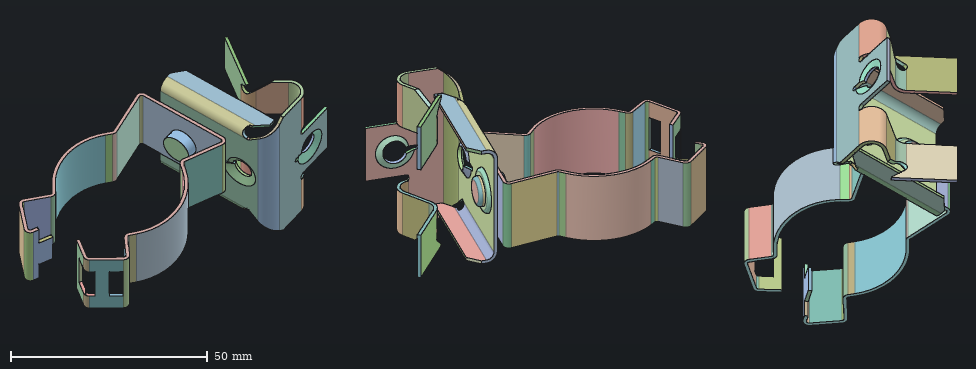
import cadquery as cq
import math


SHEET = 0.95
HALF_SHEET = SHEET / 2
CUT = 48.0

BASE_LEFT = -7.8
CHANNEL_HALF_WIDTH = 16.7
CHANNEL_BEND = 2.95
RIB_HEIGHT = 7.5
RIB_RIGHT = 22.95
RIB_END_HEIGHT = 5.35
RIB_CHAMFER_X = 2.8
RIB_CHAMFER_Y = 3.2
NOTCH_RADIUS = 1.4
NOTCH_X = 19.4
NOTCH_Z = CHANNEL_HALF_WIDTH - NOTCH_RADIUS
NOTCH_HEIGHT = 2.4

FLANGE_FACE = 27.0
FLANGE_TOP = 24.8
FLANGE_WIDTH = 44.5
FLANGE_HALF_WIDTH = FLANGE_WIDTH / 2
FLANGE_BEND = 4.0
FLANGE_MID = FLANGE_FACE - HALF_SHEET
CORNER_START_X = 20.1
CORNER_SLOPE = 0.85
BEND_STEPS = 8
TONGUE_HALF_WIDTH = 7.8
ARM_INNER_Z = 9.7
TONGUE_SLOT_BOTTOM = 13.2

ARM_ROOT_Y = 12.0
ARM_PEAK = (FLANGE_MID, 20.2)
ARM_VALLEY = (12.15, 9.75)
ARM_TIP = (-0.6, 18.7)
ARM_SPUR_LENGTH = 1.3
ARM_SLOT_RADIUS = 1.4
ARM_SLOT_CENTRE = (11.6, 18.2)

THREAD_HOLE_RADIUS = 2.8
THREAD_LIP_RADIUS = 3.1
THREAD_START_RADIUS = 4.0
THREAD_END_RADIUS = 5.6
THREAD_START_HEIGHT = 0.55
THREAD_END_HEIGHT = 1.4
THREAD_GAP_ANGLE = 0.1
THREAD_STEPS = 24
SLIT_WIDTH = 1.2
SLIT_REACH = 6.55
BASE_HOLE_X = 17.5
FLANGE_HOLE_Y = 17.35

CLIP_HALF_WIDTH = 9.5
CLIP_BEND = 1.1
RING_OUTER_RADIUS = 17.4
RING_RADIUS = RING_OUTER_RADIUS - HALF_SHEET
RING_CENTRE = (0, -28.05)
SHOULDER_X = 13.75
LEFT_NECKS = [(-11.2, -15.1), (-11.3, -41.0)]
RIGHT_NECKS = [(8.3, -12.95), (11.3, -41.0)]
LEFT_JAW = [(-17.1, -47.8), (-9.3, -55.5), (-6.2, -48.85)]
RIGHT_JAW = [(16.5, -47.0), (7.9, -53.4), (2.4, -49.4)]
HOOK_HALF_WIDTH = 4.2
HOOK_LENGTH = 4.0
WINDOW_HALF_WIDTH = 4.7
NOSE_WINDOW_TO_TIP = 4.55
NOSE_WINDOW_TO_ELBOW = 2.2
LATCH_WINDOW_START = 5.9
LATCH_WINDOW_END = 9.35

RIVET_RADIUS = 4.0
RIVET_X = 0.2
RIVET_FRONT = 3.1
RIVET_BACK = 2.55
RIVET_FILLET = 0.95
COLLAR_RADIUS = 6.0
COLLAR_HEIGHT = 0.95


def unit(start, end):
    """Unit vector from one point to another."""
    length = math.dist(start, end)
    return ((end[0] - start[0]) / length, (end[1] - start[1]) / length)


def along(point, direction, distance):
    """Point reached by moving a distance in a direction."""
    return (point[0] + distance * direction[0], point[1] + distance * direction[1])


def left_of(direction):
    """Direction turned a quarter turn to the left."""
    return (-direction[1], direction[0])


def face_line(path, radii, side):
    """One face of a bent sheet: the end points, and an arc (start, middle, end) per bend."""
    offset = side * HALF_SHEET
    first = left_of(unit(path[0], path[1]))
    last = left_of(unit(path[-2], path[-1]))
    arcs = []
    for before, corner, after, radius in zip(path, path[1:], path[2:], radii):
        way_in = unit(before, corner)
        way_out = unit(corner, after)
        cross = way_in[0] * way_out[1] - way_in[1] * way_out[0]
        dot = way_in[0] * way_out[0] + way_in[1] * way_out[1]
        turn = math.copysign(1, cross)
        tangent = radius * math.tan(math.acos(dot) / 2)
        normal_in = left_of(way_in)
        normal_out = left_of(way_out)
        normal_mid = unit((0, 0), along(normal_in, normal_out, 1))
        centre = along(along(corner, way_in, -tangent), normal_in, turn * radius)
        reach = offset - turn * radius
        arcs.append([along(centre, n, reach) for n in (normal_in, normal_mid, normal_out)])
    return along(path[0], first, offset), arcs, along(path[-1], last, offset)


def bent_sheet(path, radii, start, end, plane="XY"):
    """Sheet bent along a mid-sheet path, running from start to end along the plane's normal."""
    left_start, left_arcs, left_end = face_line(path, radii, 1)
    right_start, right_arcs, right_end = face_line(path, radii, -1)
    outline = cq.Workplane(plane).workplane(offset=start).moveTo(*left_start)
    for arc_start, arc_mid, arc_end in left_arcs:
        outline = outline.lineTo(*arc_start).threePointArc(arc_mid, arc_end)
    outline = outline.lineTo(*left_end).lineTo(*right_end)
    for arc_start, arc_mid, arc_end in reversed(right_arcs):
        outline = outline.lineTo(*arc_end).threePointArc(arc_mid, arc_start)
    return outline.lineTo(*right_start).close().extrude(end - start)


def prism(plane, points, start, end):
    """Polygon extruded between two positions along the plane's normal."""
    return cq.Workplane(plane).workplane(offset=start).polyline(points).close().extrude(end - start)


def both_sides(upper):
    """The shape together with its mirror image below Z = 0."""
    return upper.union(upper.mirror("XY"))


def make_channel():
    """Base with two side walls bent away from the clip."""
    wall = CHANNEL_HALF_WIDTH - HALF_SHEET
    path = [(RIB_HEIGHT, -wall), (HALF_SHEET, -wall), (HALF_SHEET, wall), (RIB_HEIGHT, wall)]
    bend = CHANNEL_BEND - HALF_SHEET
    channel = bent_sheet(path, [bend, bend], BASE_LEFT, RIB_RIGHT, "YZ")
    chamfer = [
        (BASE_LEFT, RIB_HEIGHT),
        (BASE_LEFT + RIB_CHAMFER_X, RIB_HEIGHT),
        (BASE_LEFT, RIB_HEIGHT - RIB_CHAMFER_Y),
    ]
    sloped_end = [
        (NOTCH_X, 0),
        (NOTCH_X, NOTCH_HEIGHT),
        (RIB_RIGHT, RIB_END_HEIGHT),
        (RIB_RIGHT, 0),
    ]
    for corner in (chamfer, sloped_end):
        channel = channel.cut(prism("XY", corner, -CUT, CUT))
    return channel


def corner_trim():
    """Waste beside the sloped corner that widens the base piece, round the bend, to full width."""
    narrow = CHANNEL_HALF_WIDTH - CHANNEL_BEND
    bend_x = FLANGE_FACE - FLANGE_BEND
    bend_z = narrow + CORNER_SLOPE * (bend_x - CORNER_START_X)
    quarter_turn = math.pi / 2
    neutral_radius = FLANGE_BEND - HALF_SHEET
    flange_z = bend_z + CORNER_SLOPE * neutral_radius * quarter_turn

    beside_base = [
        (BASE_LEFT, narrow),
        (CORNER_START_X, narrow),
        (bend_x, bend_z),
        (bend_x, CUT),
        (BASE_LEFT, CUT),
    ]
    trim = prism("XZ", beside_base, -SHEET, 0)

    edges = []
    for radius in (FLANGE_BEND - 2 * SHEET, FLANGE_BEND + SHEET):
        points = []
        for step in range(BEND_STEPS + 1):
            angle = quarter_turn * step / BEND_STEPS
            x = bend_x + radius * math.sin(angle)
            y = FLANGE_BEND - radius * math.cos(angle)
            z = bend_z + (flange_z - bend_z) * step / BEND_STEPS
            points.append(cq.Vector(x, y, z))
        edges.append(cq.Edge.makeSpline(points))
    climb = cq.Face.makeRuledSurface(*edges)
    trim = trim.union(cq.Workplane(cq.Solid.extrudeLinear(climb, cq.Vector(0, 0, CUT))))

    rest = FLANGE_HALF_WIDTH - flange_z
    above_bend = [
        (FLANGE_BEND, flange_z),
        (FLANGE_BEND + rest / CORNER_SLOPE, FLANGE_HALF_WIDTH),
        (FLANGE_BEND, FLANGE_HALF_WIDTH),
    ]
    return trim.union(prism("YZ", above_bend, bend_x, FLANGE_FACE))


def make_flange():
    """Upright flange with its bend, a strip of base, and the tongue between the arms."""
    path = [(BASE_LEFT, HALF_SHEET), (FLANGE_MID, HALF_SHEET), (FLANGE_MID, FLANGE_TOP)]
    bend = FLANGE_BEND - HALF_SHEET
    flange = bent_sheet(path, [bend], -FLANGE_HALF_WIDTH, FLANGE_HALF_WIDTH)

    trim = corner_trim()

    slot_radius = (ARM_INNER_Z - TONGUE_HALF_WIDTH) / 2
    slot_z = TONGUE_HALF_WIDTH + slot_radius
    slot_centre_y = TONGUE_SLOT_BOTTOM + slot_radius
    arm_room = [(ARM_ROOT_Y, ARM_INNER_Z), (CUT, ARM_INNER_Z), (CUT, CUT), (ARM_ROOT_Y, CUT)]
    trim = trim.union(prism("YZ", arm_room, 0, CUT))
    slot = (
        cq.Workplane("YZ")
        .center(slot_centre_y + CUT / 2, slot_z)
        .slot2D(CUT + 2 * slot_radius, 2 * slot_radius)
        .extrude(CUT)
    )
    return flange.cut(both_sides(trim)).cut(both_sides(slot))


def make_arm():
    """Upper spring arm: bent back from the flange, with a 45 degree slot across its valley."""
    bend = FLANGE_BEND - HALF_SHEET
    path = [(FLANGE_MID, ARM_ROOT_Y), ARM_PEAK, ARM_VALLEY, ARM_TIP]
    arm = bent_sheet(path, [bend, bend], ARM_INNER_Z, FLANGE_HALF_WIDTH)

    slot_x, slot_z = ARM_SLOT_CENTRE
    slot = (
        cq.Workplane("XZ")
        .workplane(offset=-CUT)
        .center(slot_x, slot_z)
        .transformed(rotate=(0, 0, 45))
        .center(CUT / 2, 0)
        .slot2D(CUT + 2 * ARM_SLOT_RADIUS, 2 * ARM_SLOT_RADIUS)
        .extrude(CUT)
    )
    spur_room = [
        (-CUT, slot_z),
        (slot_x, slot_z),
        (slot_x + CUT, slot_z + CUT),
        (-CUT, slot_z + CUT),
    ]
    arm = arm.cut(prism("XZ", spur_room, -CUT, 0)).cut(slot)
    spur_end = along(ARM_VALLEY, unit(ARM_TIP, ARM_VALLEY), ARM_SPUR_LENGTH)
    spur = bent_sheet([ARM_TIP, spur_end], [], slot_z, FLANGE_HALF_WIDTH).cut(slot)
    return arm.union(spur)


def thread_edge(start_radius, end_radius, start_height, end_height):
    """One turn of a spiral around Z, open at the slit on the +X side."""
    turn = 2 * math.pi
    points = []
    for step in range(THREAD_STEPS + 1):
        angle = THREAD_GAP_ANGLE + (turn - 2 * THREAD_GAP_ANGLE) * step / THREAD_STEPS
        radius = start_radius + (end_radius - start_radius) * angle / turn
        height = start_height + (end_height - start_height) * angle / turn
        points.append(cq.Vector(radius * math.cos(angle), radius * math.sin(angle), height))
    return cq.Edge.makeSpline(points)


def add_thread_dimple(bracket, plane):
    """Raise a one-turn screw thread around a hole; the plane lies on the raised face."""
    rim_radii = (THREAD_START_RADIUS, THREAD_END_RADIUS)
    lip_radii = (THREAD_LIP_RADIUS, THREAD_LIP_RADIUS)
    hole_radii = (THREAD_HOLE_RADIUS, THREAD_HOLE_RADIUS)
    edges = [
        thread_edge(*rim_radii, 0, 0),
        thread_edge(*lip_radii, THREAD_START_HEIGHT, THREAD_END_HEIGHT),
        thread_edge(*hole_radii, THREAD_START_HEIGHT - SHEET, THREAD_END_HEIGHT - SHEET),
        thread_edge(*rim_radii, -SHEET, -SHEET),
    ]
    faces = [cq.Face.makeRuledSurface(a, b) for a, b in zip(edges, edges[1:] + edges[:1])]
    for end_point in (cq.Edge.startPoint, cq.Edge.endPoint):
        corners = [end_point(edge) for edge in edges]
        faces.append(cq.Face.makeFromWires(cq.Wire.makePolygon(corners, close=True)))
    thread = cq.Solid.makeSolid(cq.Shell.makeShell(faces)).fix()

    rim = edges[-1]
    closing = cq.Edge.makeLine(rim.endPoint(), rim.startPoint())
    opening_wire = cq.Wire.assembleEdges([rim, closing])
    opening = cq.Solid.extrudeLinear(opening_wire, [], cq.Vector(0, 0, SHEET))

    slit_start = THREAD_HOLE_RADIUS / 2
    slit = (
        cq.Workplane("XY")
        .workplane(offset=-2 * SHEET)
        .center((slit_start + SLIT_REACH) / 2, 0)
        .slot2D(SLIT_REACH - slit_start, SLIT_WIDTH)
        .extrude(THREAD_END_HEIGHT + 3 * SHEET)
        .val()
    )
    opening, thread, slit = [shape.moved(plane.location) for shape in (opening, thread, slit)]
    return bracket.cut(cq.Workplane(opening)).union(cq.Workplane(thread)).cut(cq.Workplane(slit))


def rivet_cylinder():
    """Rivet shank with flat ends, through clip and bracket."""
    length = RIVET_FRONT + 2 * SHEET + RIVET_BACK
    return (
        cq.Workplane("XZ", origin=(RIVET_X, SHEET + RIVET_BACK, 0))
        .circle(RIVET_RADIUS)
        .extrude(length)
    )


def make_bracket():
    bracket = make_channel().union(make_flange())
    notch = (
        cq.Workplane("XZ")
        .center(NOTCH_X, NOTCH_Z)
        .circle(NOTCH_RADIUS)
        .extrude(-NOTCH_HEIGHT)
    )
    bracket = bracket.cut(both_sides(notch)).union(both_sides(make_arm()))
    base_hole = cq.Plane(origin=(BASE_HOLE_X, SHEET, 0), xDir=(-1, 0, 0), normal=(0, 1, 0))
    flange_hole = cq.Plane(
        origin=(FLANGE_FACE - SHEET, FLANGE_HOLE_Y, 0), xDir=(0, -1, 0), normal=(-1, 0, 0)
    )
    for plane in (base_hole, flange_hole):
        bracket = add_thread_dimple(bracket, plane)
    return bracket.cut(rivet_cylinder())


def ring_corner(upper_neck, lower_neck):
    """Crossing point of the tangents from two neck points to the ring, on their own side."""
    side = math.copysign(1, lower_neck[0])
    touches = []
    for neck, turn in ((upper_neck, -1), (lower_neck, 1)):
        polar = math.atan2(neck[1] - RING_CENTRE[1], side * (neck[0] - RING_CENTRE[0]))
        swing = math.acos(RING_RADIUS / math.dist(neck, RING_CENTRE))
        touches.append(polar + turn * swing)
    middle = sum(touches) / 2
    reach = RING_RADIUS / math.cos((touches[0] - touches[1]) / 2)
    return along(RING_CENTRE, (side * math.cos(middle), math.sin(middle)), reach)


def leg_cutter(corner, toward, start, end, low_z, high_z):
    """Block square to a straight leg, between two distances from its corner."""
    direction = unit(corner, toward)
    normal = left_of(direction)
    block = [
        along(along(corner, direction, distance), normal, side * SHEET)
        for distance, side in ((start, -1), (end, -1), (end, 1), (start, 1))
    ]
    return prism("XY", block, low_z, high_z)


def make_clip():
    left_half = [(-SHOULDER_X, -HALF_SHEET), LEFT_NECKS[0], ring_corner(*LEFT_NECKS), LEFT_NECKS[1]]
    right_half = [(SHOULDER_X, -HALF_SHEET), RIGHT_NECKS[0], ring_corner(*RIGHT_NECKS), RIGHT_NECKS[1]]
    path = (left_half + LEFT_JAW)[::-1] + right_half + RIGHT_JAW
    jaw_and_neck = [CLIP_BEND] * 3
    half_radii = jaw_and_neck + [RING_RADIUS] + [CLIP_BEND] * 2
    clip = bent_sheet(path, half_radii + half_radii[::-1], -CLIP_HALF_WIDTH, CLIP_HALF_WIDTH)

    _, nose, tip = LEFT_JAW
    shoulder = leg_cutter(tip, nose, -SHEET, HOOK_LENGTH, HOOK_HALF_WIDTH, CLIP_HALF_WIDTH)
    clip = clip.cut(both_sides(shoulder))

    elbow, nose, tip = RIGHT_JAW
    windows = [
        (tip, 0, NOSE_WINDOW_TO_TIP),
        (elbow, 0, NOSE_WINDOW_TO_ELBOW),
        (elbow, LATCH_WINDOW_START, LATCH_WINDOW_END),
    ]
    for toward, start, end in windows:
        clip = clip.cut(leg_cutter(nose, toward, start, end, -WINDOW_HALF_WIDTH, WINDOW_HALF_WIDTH))
    return clip.cut(rivet_cylinder())


def make_rivet():
    """Shank with a rounded back end and a collar that rests on the bracket base."""
    shank = rivet_cylinder().faces(">Y").edges().fillet(RIVET_FILLET)
    flat_radius = COLLAR_RADIUS - COLLAR_HEIGHT
    rim_middle = along((flat_radius, SHEET), unit((0, 0), (1, 1)), COLLAR_HEIGHT)
    collar = (
        cq.Workplane("XY", origin=(RIVET_X, 0, 0))
        .moveTo(0, SHEET)
        .lineTo(COLLAR_RADIUS, SHEET)
        .threePointArc(rim_middle, (flat_radius, SHEET + COLLAR_HEIGHT))
        .lineTo(0, SHEET + COLLAR_HEIGHT)
        .close()
        .revolve(360, (0, 0, 0), (0, 1, 0))
    )
    return shank.union(collar)


bracket = make_bracket()
clip = make_clip()
rivet = make_rivet()

result = cq.Compound.makeCompound([bracket.val(), clip.val(), rivet.val()])